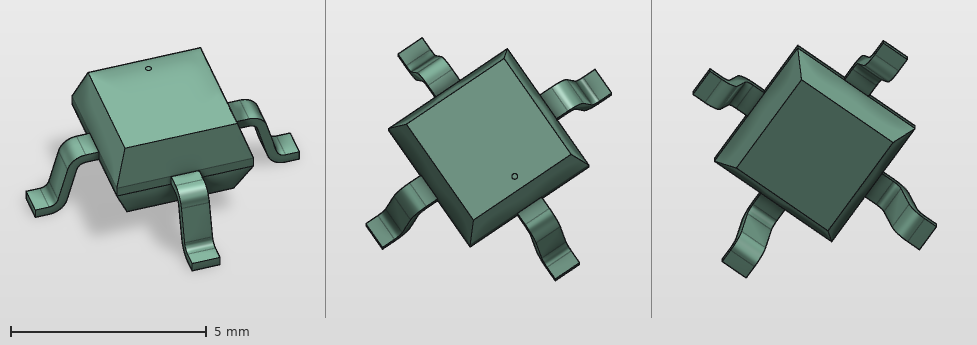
import cadquery as cq
import math

span = 7.11
height = 2.8

belt_width = 3.68
top_width = 3.03
bottom_width = 2.87
housing_bottom = 0.51
belt_bottom = 1.52
belt_top = 1.79

lead_width = 0.755
lead_thickness = 0.255
lead_shoulder = 0.355
inner_bend_radius = 0.25
leg_angle = math.radians(75)
lead_count = 4

marker_diameter = 0.15
marker_depth = 0.035
marker_x = -1.17

half_thickness = lead_thickness / 2
bend_radius = inner_bend_radius + half_thickness
root_z = belt_bottom + half_thickness
foot_z = half_thickness
bend_drop = bend_radius * (1 - math.cos(leg_angle))
leg_drop = root_z - foot_z - 2 * bend_drop
leg_run = leg_drop / math.tan(leg_angle)
root_x = belt_width / 2
tip_x = span / 2
upper_bend_x = root_x + lead_shoulder
lower_bend_x = upper_bend_x + 2 * bend_radius * math.sin(leg_angle) + leg_run
upper_centre_z = root_z - bend_radius
lower_centre_z = foot_z + bend_radius


def frustum(lower_width, lower_z, upper_width, upper_z):
    """Square block tapering evenly between two heights."""
    return (
        cq.Workplane("XY", origin=(0, 0, lower_z))
        .rect(lower_width, lower_width)
        .workplane(offset=upper_z - lower_z)
        .rect(upper_width, upper_width)
        .loft(ruled=True)
    )


def make_marker():
    """Disc whose top is level with the housing top."""
    return (
        cq.Workplane("XY", origin=(marker_x, 0, height - marker_depth))
        .circle(marker_diameter / 2)
        .extrude(marker_depth)
    )


def make_housing():
    """Belt and two tapered blocks, with a recess for the marker."""
    belt = frustum(belt_width, belt_bottom, belt_width, belt_top)
    upper_block = frustum(belt_width, belt_top, top_width, height)
    lower_block = frustum(bottom_width, housing_bottom, belt_width, belt_bottom)
    return belt.union(upper_block).union(lower_block).cut(make_marker())


def upper_bend_point(radius, angle):
    """Point on the upper bend, at an angle turned from vertical."""
    return (upper_bend_x + radius * math.sin(angle), upper_centre_z + radius * math.cos(angle))


def lower_bend_point(radius, angle):
    """Point on the lower bend, at an angle turned from vertical."""
    return (lower_bend_x - radius * math.sin(angle), lower_centre_z - radius * math.cos(angle))


def make_lead():
    """Gull-wing lead pointing along +X."""
    outer_radius = bend_radius + half_thickness
    middle_angle = leg_angle / 2
    return (
        cq.Workplane("XZ")
        .moveTo(root_x, root_z + half_thickness)
        .lineTo(*upper_bend_point(outer_radius, 0))
        .threePointArc(upper_bend_point(outer_radius, middle_angle), upper_bend_point(outer_radius, leg_angle))
        .lineTo(*lower_bend_point(inner_bend_radius, leg_angle))
        .threePointArc(lower_bend_point(inner_bend_radius, middle_angle), lower_bend_point(inner_bend_radius, 0))
        .lineTo(tip_x, lead_thickness)
        .lineTo(tip_x, 0)
        .lineTo(*lower_bend_point(outer_radius, 0))
        .threePointArc(lower_bend_point(outer_radius, middle_angle), lower_bend_point(outer_radius, leg_angle))
        .lineTo(*upper_bend_point(inner_bend_radius, leg_angle))
        .threePointArc(upper_bend_point(inner_bend_radius, middle_angle), upper_bend_point(inner_bend_radius, 0))
        .lineTo(root_x, root_z - half_thickness)
        .close()
        .extrude(lead_width / 2, both=True)
    )


housing = make_housing()
marker = make_marker()
leads = []
for index in range(lead_count):
    lead = make_lead().rotate((0, 0, 0), (0, 0, 1), index * 360 / lead_count)
    leads.append(lead.val())

result = cq.Compound.makeCompound([housing.val(), marker.val(), *leads])